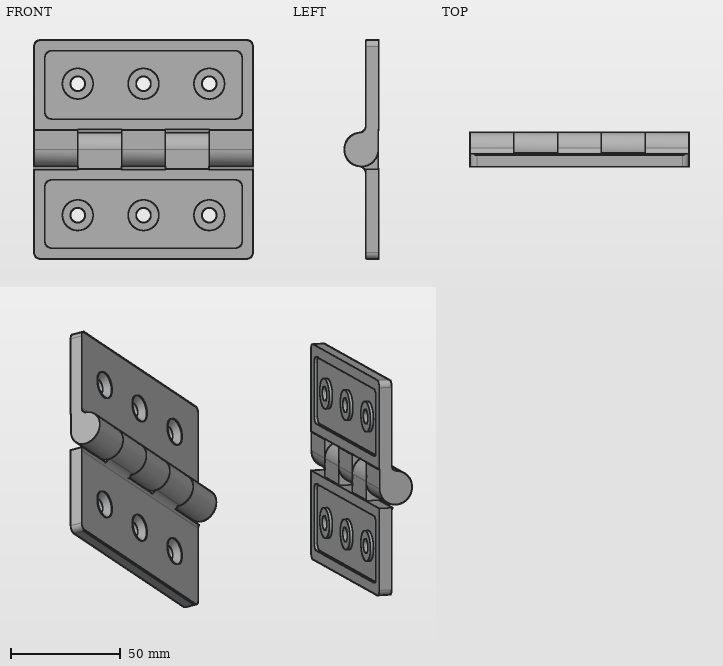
import cadquery as cq
import math

width = 100.0
height = 100.0
total_depth = 15.8

plate_thickness = 6.0
corner_radius = 3.0
bevel_depth = 0.7
bevel_drop = 0.3

face_relief = 0.2
barrel_radius = (total_depth - face_relief) / 2
barrel_y = face_relief + barrel_radius
root_fillet = 3.0
knuckle_count = 5
knuckle_width = width / knuckle_count
window_height = 9.1
relief_slope_height = 0.4

frame_margin = 5.0
pocket_height = 31.1
pocket_depth = 1.5
pocket_radius = 3.0
boss_diameter = 14.0

hole_diameter = 6.6
hole_pitch = 30.0
hole_z = 30.0
hole_count = 3
countersink_diameter = 12.4
countersink_angle = 90.0
head_recess_depth = 0.4

left_side = -width / 2
first_hole_x = -hole_pitch * (hole_count - 1) / 2
hole_points = [(first_hole_x + index * hole_pitch, hole_z) for index in range(hole_count)]


def side_plane(x):
    """Sketch plane facing +X, with local coordinates (Y, Z)."""
    return cq.Workplane("YZ", origin=(x, 0, 0))


def front_plane():
    """Sketch plane on the front face facing -Y, with local coordinates (X, Z)."""
    return cq.Workplane("XZ")


def make_barrel():
    """Solid barrel running the full width of the hinge."""
    return side_plane(left_side).center(barrel_y, 0).circle(barrel_radius).extrude(width)


def make_plate_and_web():
    """Plate running down to the barrel axis, with a concave root blending its back into the barrel."""
    arc_y = plate_thickness + root_fillet
    center_distance = barrel_radius + root_fillet
    lean_angle = math.acos((arc_y - barrel_y) / center_distance)
    arc_z = center_distance * math.sin(lean_angle)
    tangent_point = (
        barrel_y + barrel_radius * math.cos(lean_angle),
        barrel_radius * math.sin(lean_angle),
    )
    middle_angle = math.pi + lean_angle / 2
    middle_point = (
        arc_y + root_fillet * math.cos(middle_angle),
        arc_z + root_fillet * math.sin(middle_angle),
    )
    bevel_z = height / 2 - bevel_drop
    plate = (
        side_plane(left_side)
        .moveTo(face_relief, 0)
        .lineTo(barrel_y, 0)
        .lineTo(*tangent_point)
        .threePointArc(middle_point, (plate_thickness, arc_z))
        .lineTo(plate_thickness, bevel_z)
        .lineTo(plate_thickness - bevel_depth, height / 2)
        .lineTo(0, height / 2)
        .lineTo(0, window_height)
        .lineTo(face_relief, window_height - relief_slope_height)
        .close()
        .extrude(width)
    )
    return plate.intersect(make_rounded_outline())


def make_rounded_outline():
    """Block as deep as the hinge, with the two outer plate corners rounded."""
    block = cq.Workplane("XY").box(width, total_depth, height / 2, centered=(True, False, False))
    return block.edges("|Y and >Z").fillet(corner_radius)


def make_window(index):
    """Clearance in place of one knuckle, leaving room for the knuckle of the mating leaf."""
    window = cq.Workplane("XY").box(
        knuckle_width, total_depth, 2 * window_height, centered=(False, False, True)
    )
    return window.translate((left_side + index * knuckle_width, 0, 0))


def make_pocket():
    """Rounded pocket with the screw bosses left standing."""
    pocket = (
        front_plane()
        .center(0, height / 2 - frame_margin - pocket_height / 2)
        .rect(width - 2 * frame_margin, pocket_height)
        .extrude(-pocket_depth)
        .edges("|Y")
        .fillet(pocket_radius)
    )
    bosses = front_plane().pushPoints(hole_points).circle(boss_diameter / 2).extrude(-pocket_depth)
    return pocket.cut(bosses)


def make_screw_hole():
    """Through hole whose countersink opens into a short head recess on the back face."""
    half_angle = math.radians(countersink_angle / 2)
    cone_length = (countersink_diameter - hole_diameter) / 2 / math.tan(half_angle)
    cone_end = plate_thickness - head_recess_depth
    return (
        cq.Workplane("XY")
        .lineTo(hole_diameter / 2, 0)
        .lineTo(hole_diameter / 2, cone_end - cone_length)
        .lineTo(countersink_diameter / 2, cone_end)
        .lineTo(countersink_diameter / 2, plate_thickness)
        .lineTo(0, plate_thickness)
        .close()
        .revolve(360, (0, 0, 0), (0, 1, 0))
    )


def make_leaf(window_indices):
    """Upward leaf with clearance windows at the given knuckle positions."""
    leaf = make_plate_and_web().union(make_barrel())
    for index in window_indices:
        leaf = leaf.cut(make_window(index))
    leaf = leaf.cut(make_pocket())
    for x, z in hole_points:
        leaf = leaf.cut(make_screw_hole().translate((x, 0, z)))
    return leaf


even_positions = range(0, knuckle_count, 2)
odd_positions = range(1, knuckle_count, 2)
upper_leaf = make_leaf(odd_positions)
lower_leaf = make_leaf(even_positions).mirror("XY")

result = cq.Compound.makeCompound([upper_leaf.solids().val(), lower_leaf.solids().val()])